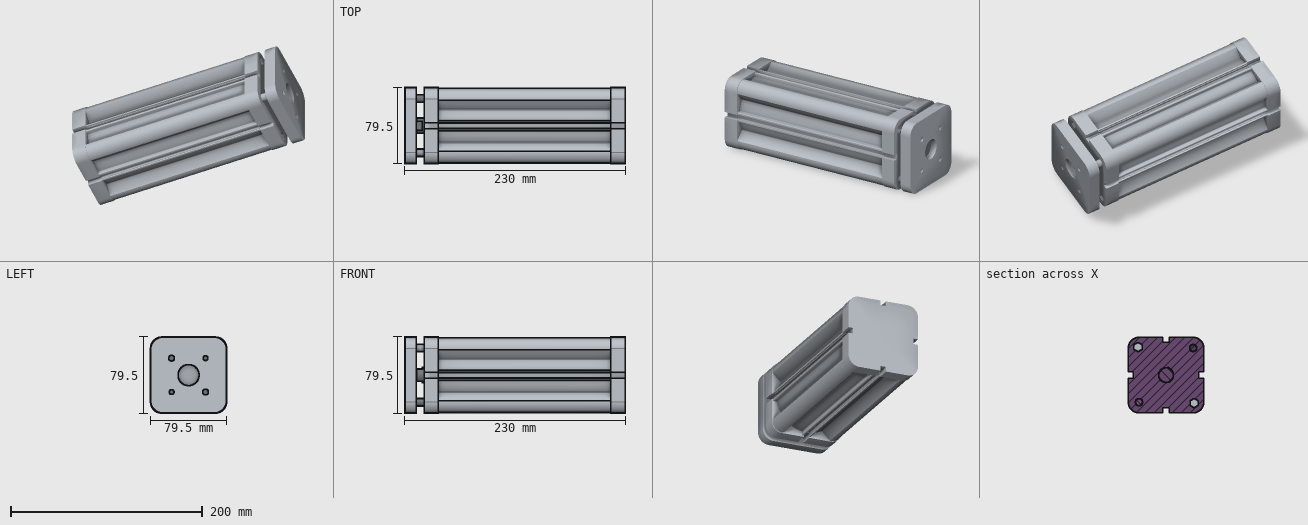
import cadquery as cq
import math

TOTAL_LENGTH = 230.0
PLATE_THICKNESS = 12.0
GAP = 8.0
COVER_LENGTH = 15.0
HOUSING_X = PLATE_THICKNESS + GAP
BARREL_X = HOUSING_X + COVER_LENGTH
REAR_COVER_X = TOTAL_LENGTH - COVER_LENGTH
BARREL_LENGTH = REAR_COVER_X - BARREL_X
ROD_LENGTH = GAP + COVER_LENGTH

BODY_SIZE = 79.5
HALF_SIZE = BODY_SIZE / 2
CORNER_RADIUS = 12.0
CORNER_CENTRE = HALF_SIZE - CORNER_RADIUS

RECESS_DIAMETER = 22.0
RECESS_DEPTH = 7.0
HOLE_CIRCLE_DIAMETER = 50.0
HOLE_OFFSET = HOLE_CIRCLE_DIAMETER / 2 * math.sin(math.pi / 4)
SCREW_HOLE_DIAMETER = 6.0
PIN_HOLE_DIAMETER = 5.0

GUIDE_DIAMETER = 8.0
GUIDE_OFFSET = 28.25

ROD_DIAMETER = 16.0
ROD_CHAMFER = 0.5
ROD_FLAT_WIDTH = 13.0
ROD_FLAT_LENGTH = 6.3

SCREW_OFFSET = 29.25
SCREW_HEAD_DIAMETER = 14.0
SCREW_HEAD_SINK = 0.2
SOCKET_SIDES = 6
SOCKET_WIDTH = 8.0
SOCKET_DEPTH = 8.0

TUBE_RADIUS = 34.3
BARREL_HALF_SIZE = 39.1
COLUMN_RADIUS = BARREL_HALF_SIZE - CORNER_CENTRE
COLUMN_EDGE = 26.7
COLUMN_EDGE_HEIGHT = CORNER_CENTRE + math.sqrt(COLUMN_RADIUS**2 - (CORNER_CENTRE - COLUMN_EDGE) ** 2)
COLUMN_SIDE_RISE = COLUMN_EDGE_HEIGHT - COLUMN_EDGE
LIP_HALF_WIDTH = 5.2
LIP_HEIGHT = 38.4
BARREL_FILLET = 0.8

SLOT_WIDTH = 6.2
SLOT_FLOOR = 34.0
COVER_SLOT_FLOOR = 34.5
SLOT_STEP_WIDTH = 5.2
SLOT_STEP_HEIGHT = 36.6

QUARTER_TURNS = (0, 90, 180, 270)


def section_plane(x):
    """Plane across the X axis whose local axes are Y and Z."""
    return cq.Workplane("YZ", origin=(x, 0, 0))


def rising_diagonal(offset):
    return [(offset, offset), (-offset, -offset)]


def falling_diagonal(offset):
    return [(-offset, offset), (offset, -offset)]


def disc(x, diameter, length, points=((0, 0),)):
    return section_plane(x).pushPoints(points).circle(diameter / 2).extrude(length)


def rounded_block(x, length):
    block = section_plane(x).rect(BODY_SIZE, BODY_SIZE).extrude(length)
    return block.edges("|X").fillet(CORNER_RADIUS)


def cut_slots(body, x, length, width, floor):
    """Cut one slot, open outwards from the floor height, in each long side."""
    depth = HALF_SIZE - floor
    slot = section_plane(x).center(0, floor + depth / 2).rect(width, depth).extrude(length)
    for angle in QUARTER_TURNS:
        body = body.cut(slot.rotate((0, 0, 0), (1, 0, 0), angle))
    return body


def make_yoke_plate():
    plate = rounded_block(0, PLATE_THICKNESS)
    plate = plate.cut(disc(0, RECESS_DIAMETER, RECESS_DEPTH))
    plate = plate.cut(disc(0, SCREW_HOLE_DIAMETER, PLATE_THICKNESS, rising_diagonal(HOLE_OFFSET)))
    return plate.cut(disc(0, PIN_HOLE_DIAMETER, PLATE_THICKNESS, falling_diagonal(HOLE_OFFSET)))


def make_piston_rod():
    rod = disc(PLATE_THICKNESS, ROD_DIAMETER, ROD_LENGTH).faces("<X").chamfer(ROD_CHAMFER)
    around_flats = (
        section_plane(PLATE_THICKNESS)
        .rect(ROD_DIAMETER, 2 * ROD_DIAMETER)
        .rect(ROD_DIAMETER, ROD_FLAT_WIDTH)
        .extrude(ROD_FLAT_LENGTH)
    )
    return rod.cut(around_flats)


def make_guide_rods():
    rods = []
    for point in falling_diagonal(GUIDE_OFFSET):
        rods.append(disc(PLATE_THICKNESS, GUIDE_DIAMETER, ROD_LENGTH, [point]))
    return rods


def make_column():
    """Corner column in the +Y +Z quadrant: a round face with two 45 degree sides."""
    crown = CORNER_CENTRE + COLUMN_RADIUS * math.sin(math.pi / 4)
    return (
        section_plane(BARREL_X)
        .moveTo(0, COLUMN_SIDE_RISE)
        .lineTo(COLUMN_EDGE, COLUMN_EDGE_HEIGHT)
        .threePointArc((crown, crown), (COLUMN_EDGE_HEIGHT, COLUMN_EDGE))
        .lineTo(COLUMN_SIDE_RISE, 0)
        .close()
        .extrude(BARREL_LENGTH)
    )


def round_barrel_edges(barrel):
    """Round the lip edges, the lip roots and the valleys beside the columns."""
    lip_root = math.sqrt(TUBE_RADIUS**2 - LIP_HALF_WIDTH**2)
    valley = (math.sqrt(2 * TUBE_RADIUS**2 - COLUMN_SIDE_RISE**2) - COLUMN_SIDE_RISE) / 2
    corners = [
        (LIP_HALF_WIDTH, LIP_HEIGHT),
        (LIP_HALF_WIDTH, lip_root),
        (valley, valley + COLUMN_SIDE_RISE),
    ]
    middle = BARREL_X + BARREL_LENGTH / 2
    edges = []
    for a, b in corners:
        for y, z in ((a, b), (b, a)):
            for side_y in (-y, y):
                for side_z in (-z, z):
                    nearest = cq.selectors.NearestToPointSelector((middle, side_y, side_z))
                    edges.append(barrel.edges(nearest).val())
    return cq.Workplane(barrel.val().fillet(BARREL_FILLET, edges))


def make_barrel():
    barrel = disc(BARREL_X, 2 * TUBE_RADIUS, BARREL_LENGTH)
    lip = section_plane(BARREL_X).center(0, LIP_HEIGHT / 2).rect(2 * LIP_HALF_WIDTH, LIP_HEIGHT)
    lip = lip.extrude(BARREL_LENGTH)
    column = make_column()
    for angle in QUARTER_TURNS:
        barrel = barrel.union(column.rotate((0, 0, 0), (1, 0, 0), angle))
        barrel = barrel.union(lip.rotate((0, 0, 0), (1, 0, 0), angle))
    barrel = round_barrel_edges(barrel)
    barrel = cut_slots(barrel, BARREL_X, BARREL_LENGTH, SLOT_STEP_WIDTH, SLOT_FLOOR)
    return cut_slots(barrel, BARREL_X, BARREL_LENGTH, SLOT_WIDTH, SLOT_STEP_HEIGHT)


def make_cover(x):
    return cut_slots(rounded_block(x, COVER_LENGTH), x, COVER_LENGTH, SLOT_WIDTH, COVER_SLOT_FLOOR)


def cut_screw_heads(housing):
    """Slightly sunk screw heads with hexagon sockets whose flats face Y."""
    points = rising_diagonal(SCREW_OFFSET)
    housing = housing.cut(disc(HOUSING_X, SCREW_HEAD_DIAMETER, SCREW_HEAD_SINK, points))
    for y, z in points:
        socket = section_plane(HOUSING_X).center(y, z)
        socket = socket.polygon(SOCKET_SIDES, SOCKET_WIDTH, circumscribed=True)
        housing = housing.cut(socket.extrude(SOCKET_DEPTH))
    return housing


def make_housing():
    housing = make_barrel().union(make_cover(HOUSING_X)).union(make_cover(REAR_COVER_X))
    housing = housing.cut(disc(HOUSING_X, ROD_DIAMETER, COVER_LENGTH))
    housing = housing.cut(disc(HOUSING_X, GUIDE_DIAMETER, COVER_LENGTH, falling_diagonal(GUIDE_OFFSET)))
    return cut_screw_heads(housing)


yoke_plate = make_yoke_plate()
piston_rod = make_piston_rod()
guide_rods = make_guide_rods()
housing = make_housing()

result = cq.Compound.makeCompound(
    [yoke_plate.val(), piston_rod.val(), *[rod.val() for rod in guide_rods], housing.val()]
)